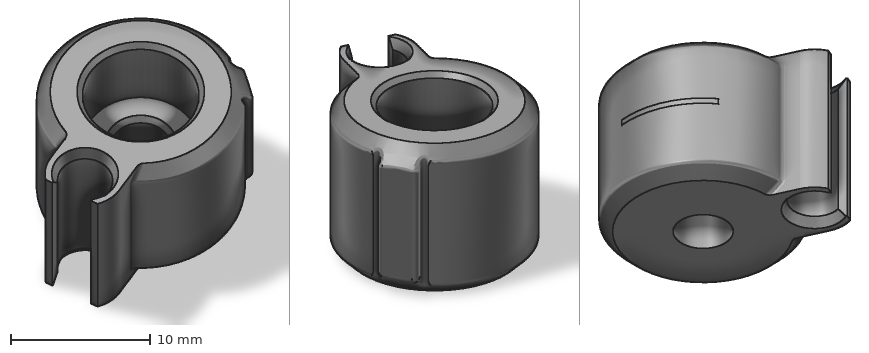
import cadquery as cq
import math

height = 12.0
barrel_radius = 7.5
rim_chamfer = 1.0
edge_fillet = 0.4

bore_radius = 8.35 / 2
hole_radius = 4.3 / 2
bore_floor = height / 2
bore_chamfer = 0.4

tab_angle = 45.0
tab_reach = 8.0
tab_corner_radius = 0.43
tab_flat_half_width = 1.13
groove_radius = 0.3
groove_offset = 1.82

clip_x = 0.35
clip_y = -8.47
clip_radius = 2.88
clip_bore_radius = 1.98
clip_end_y = barrel_radius - 17.86
clip_slot_width = 3.2
clip_chamfer_width = 0.41
clip_chamfer_depth = 0.79
clip_root_fillet = 0.4

strip_length = 7.47
strip_height = 0.45
strip_base = 6.04
strip_depth = 0.18


def make_tab():
    """Tab pointing along +X; its rounded corners run tangent into the side grooves."""
    corner_u = tab_reach - tab_corner_radius
    centre_gap = tab_corner_radius + groove_radius
    groove_u = corner_u - math.sqrt(centre_gap**2 - (groove_offset - tab_flat_half_width) ** 2)

    share = tab_corner_radius / centre_gap
    meet_u = corner_u + share * (groove_u - corner_u)
    meet_v = tab_flat_half_width + share * (groove_offset - tab_flat_half_width)

    bulge = (math.pi / 2 + math.atan2(corner_u - groove_u, groove_offset - tab_flat_half_width)) / 2
    mid_u = corner_u + tab_corner_radius * math.cos(bulge)
    mid_v = tab_flat_half_width + tab_corner_radius * math.sin(bulge)

    block = (
        cq.Workplane("XY")
        .moveTo(bore_radius, -meet_v)
        .lineTo(meet_u, -meet_v)
        .threePointArc((mid_u, -mid_v), (tab_reach, -tab_flat_half_width))
        .lineTo(tab_reach, tab_flat_half_width)
        .threePointArc((mid_u, mid_v), (meet_u, meet_v))
        .lineTo(bore_radius, meet_v)
        .close()
        .extrude(height)
    )
    grooves = (
        cq.Workplane("XY")
        .pushPoints([(groove_u, groove_offset), (groove_u, -groove_offset)])
        .circle(groove_radius)
        .extrude(height)
    )
    return block, grooves


def make_barrel():
    """Barrel with its tab, chamfered by a cone at each end and with rounded chamfer edges."""
    block, grooves = make_tab()
    barrel = cq.Workplane("XY").circle(barrel_radius).extrude(height).union(block).cut(grooves)

    flat_radius = barrel_radius - rim_chamfer
    cone_depth = height / 4
    cone_radius = flat_radius + cone_depth
    envelope = (
        cq.Workplane("XZ")
        .polyline([
            (0, 0), (flat_radius, 0), (cone_radius, cone_depth),
            (cone_radius, height - cone_depth), (flat_radius, height), (0, height),
        ])
        .close()
        .revolve(360, (0, 0), (0, 1))
    )
    barrel = barrel.intersect(envelope)
    sharp_zone = cq.selectors.BoxSelector(
        (-cone_radius, -cone_radius, rim_chamfer / 2),
        (cone_radius, cone_radius, height - rim_chamfer / 2),
    )
    barrel = barrel.edges(sharp_zone).edges("not |Z").fillet(edge_fillet)
    return barrel.rotate((0, 0, 0), (0, 0, 1), tab_angle)


def make_clip():
    """Straight-sided clip block with a rounded nose cut off flat at its open end."""
    cut_half_width = math.sqrt(clip_radius**2 - (clip_end_y - clip_y) ** 2)
    nose_angle = math.atan2(clip_end_y - clip_y, cut_half_width) / 2
    nose_mid_x = clip_radius * math.cos(nose_angle)
    nose_mid_y = clip_y + clip_radius * math.sin(nose_angle)
    return (
        cq.Workplane("XY", origin=(clip_x, 0, 0))
        .moveTo(-clip_radius, -bore_radius)
        .lineTo(-clip_radius, clip_y)
        .threePointArc((-nose_mid_x, nose_mid_y), (-cut_half_width, clip_end_y))
        .lineTo(cut_half_width, clip_end_y)
        .threePointArc((nose_mid_x, nose_mid_y), (clip_radius, clip_y))
        .lineTo(clip_radius, -bore_radius)
        .close()
        .extrude(height)
    )


def fillet_clip_roots(body):
    """Round the inner corners where the clip sides leave the barrel."""
    near_side = 0.02
    for side_x in (clip_x - clip_radius, clip_x + clip_radius):
        root = cq.selectors.BoxSelector(
            (side_x - near_side, -barrel_radius, near_side),
            (side_x + near_side, -bore_radius, height - near_side),
        )
        body = body.edges(root).fillet(clip_root_fillet)
    return body


def make_stepped_bore():
    """Wide upper bore above a smaller through hole, both chamfered at the top."""
    return (
        cq.Workplane("XZ")
        .polyline([
            (0, 0), (hole_radius, 0), (hole_radius, bore_floor - bore_chamfer),
            (hole_radius + bore_chamfer, bore_floor), (bore_radius, bore_floor),
            (bore_radius, height - bore_chamfer), (bore_radius + bore_chamfer, height), (0, height),
        ])
        .close()
        .revolve(360, (0, 0), (0, 1))
    )


def make_clip_opening():
    """Clip bore with long chamfers at both ends, plus the slot that opens it to -Y."""
    mouth_radius = clip_bore_radius + clip_chamfer_width
    bore = (
        cq.Workplane("XZ", origin=(clip_x, clip_y, 0))
        .polyline([
            (0, 0), (mouth_radius, 0), (clip_bore_radius, clip_chamfer_depth),
            (clip_bore_radius, height - clip_chamfer_depth), (mouth_radius, height), (0, height),
        ])
        .close()
        .revolve(360, (0, 0), (0, 1))
    )
    slot_length = clip_y - clip_end_y
    slot = cq.Workplane("XY").box(clip_slot_width, slot_length, height, centered=(True, False, False))
    return bore.union(slot.translate((clip_x, clip_end_y, 0)))


def make_strip():
    """Thin curved strip whose outer face lies on the barrel wall."""
    ring = (
        cq.Workplane("XY", origin=(0, 0, strip_base))
        .circle(barrel_radius)
        .circle(barrel_radius - strip_depth)
        .extrude(strip_height)
    )
    sector = (
        cq.Workplane("XY", origin=(0, 0, strip_base))
        .box(barrel_radius, strip_length, strip_height, centered=(False, True, False))
        .translate((-barrel_radius, 0, 0))
    )
    return ring.intersect(sector)


def make_housing(inlay):
    body = fillet_clip_roots(make_barrel().union(make_clip()))
    return body.cut(make_stepped_bore()).cut(make_clip_opening()).cut(inlay)


strip = make_strip()
housing = make_housing(strip)

result = cq.Compound.makeCompound([housing.val(), strip.val()])